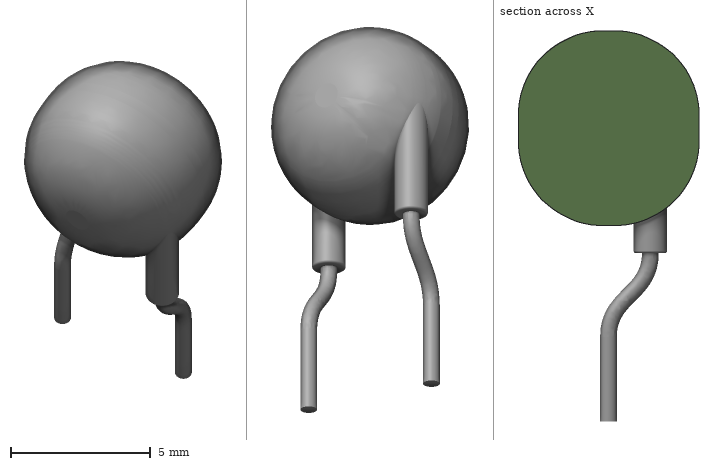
import cadquery as cq

bead_radius = 3.5
bead_thickness = 6.5
bead_rounding = 3.04
total_height = 14.0
bead_center_z = total_height - bead_radius

lead_x = 2.5
lead_offset_y = 1.5
wire_diameter = 0.6
wire_radius = wire_diameter / 2
straight_length = 3.02

sleeve_radius = 0.6
sleeve_bottom_z = 6.02
sleeve_edge_rounding = 0.08


def make_bead():
    back_center = (0, bead_thickness / 2, bead_center_z)
    disc = cq.Workplane("XZ", origin=back_center).circle(bead_radius).extrude(bead_thickness)
    return disc.faces("<Y or >Y").edges().fillet(bead_rounding)


def make_sleeve(x, y):
    """Vertical sleeve running up to the middle of the bead, lower rim rounded."""
    sleeve = (
        cq.Workplane("XY", origin=(x, y, sleeve_bottom_z))
        .circle(sleeve_radius)
        .extrude(bead_center_z - sleeve_bottom_z)
    )
    return sleeve.faces("<Z").edges().fillet(sleeve_edge_rounding)


def make_wire(x, y):
    """Straight pin at Y = 0, then an S-bend that ends vertical inside the sleeve."""
    pin = cq.Workplane("XY", origin=(x, 0, 0)).circle(wire_radius).extrude(straight_length)
    bend_path = cq.Workplane("YZ", origin=(x, 0, 0)).spline(
        [(0, straight_length), (y, sleeve_bottom_z)],
        tangents=[(0, 1), (0, 1)],
    )
    bend = (
        cq.Workplane("XY", origin=(x, 0, straight_length))
        .circle(wire_radius)
        .sweep(bend_path)
    )
    return pin.union(bend)


result = make_bead()
for side in (-1, 1):
    x = side * lead_x
    y = -side * lead_offset_y
    result = result.union(make_sleeve(x, y)).union(make_wire(x, y))